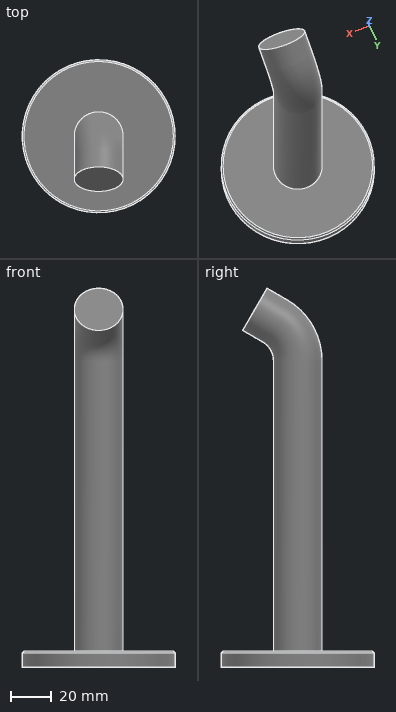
import cadquery as cq
import math

overall_height = 185.5
flange_diameter = 75.0
flange_thickness = 8.0
flange_edge_chamfer = 1.0
tube_diameter = 24.0
bend_radius = 22.5
bend_angle = 60.0
outlet_length = 11.3

angle = math.radians(bend_angle)
bend_rise = bend_radius * math.sin(angle)
outlet_rise = outlet_length * math.cos(angle)
rim_rise = tube_diameter / 2 * math.sin(angle)
bend_start_height = overall_height - bend_rise - outlet_rise - rim_rise
bend_end_y = -bend_radius * (1 - math.cos(angle))
bend_end_height = bend_start_height + bend_rise


def make_flange():
    """Round wall flange with a chamfered upper edge."""
    disc = cq.Workplane("XY").circle(flange_diameter / 2).extrude(flange_thickness)
    return disc.faces(">Z").edges().chamfer(flange_edge_chamfer)


def make_stem():
    """Straight upright tube, up to the start of the bend."""
    return cq.Workplane("XY").circle(tube_diameter / 2).extrude(bend_start_height)


def make_bend():
    """Elbow turning from +Z toward -Y."""
    section = cq.Workplane("XY", origin=(0, 0, bend_start_height)).circle(tube_diameter / 2)
    return section.revolve(bend_angle, (0, -bend_radius, 0), (1, -bend_radius, 0))


def make_outlet():
    """Straight end of the tube, continuing at the bend angle."""
    plane = cq.Plane(
        origin=(0, bend_end_y, bend_end_height),
        xDir=(1, 0, 0),
        normal=(0, -math.sin(angle), math.cos(angle)),
    )
    return cq.Workplane(plane).circle(tube_diameter / 2).extrude(outlet_length)


result = make_flange().union(make_stem()).union(make_bend()).union(make_outlet())